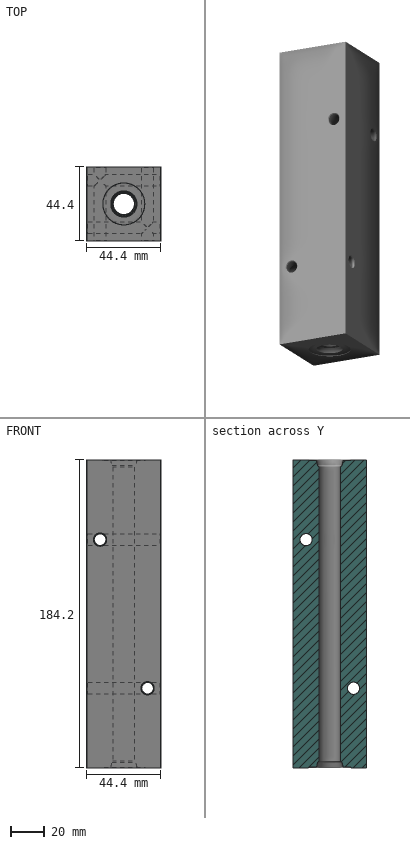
import cadquery as cq
import math

length = 184.2
width = 44.4

bore_diameter = 12.7
seat_diameter = 15.7
seat_depth = 3.3
seat_angle = 12
spotface_diameter = 25.0
spotface_depth = 0.4

cross_hole_diameter = 7.0
countersink_diameter = 8.0
cross_hole_offset = 14.2
cross_hole_height = width


def end_port():
    """Cutter for the upper end: spotface, conical seat and 45 degree lead-in to the bore."""
    top = length / 2
    spotface_floor = top - spotface_depth
    seat_end = top - seat_depth
    seat_radius = seat_diameter / 2
    seat_end_radius = seat_radius - (spotface_floor - seat_end) * math.tan(math.radians(seat_angle))
    bore_radius = bore_diameter / 2
    lead_in_end = seat_end - (seat_end_radius - bore_radius)
    profile = [
        (0, top),
        (spotface_diameter / 2, top),
        (spotface_diameter / 2, spotface_floor),
        (seat_radius, spotface_floor),
        (seat_end_radius, seat_end),
        (bore_radius, lead_in_end),
        (0, lead_in_end),
    ]
    return cq.Workplane("XZ").polyline(profile).close().revolve(360, (0, 0, 0), (0, 1, 0))


def cross_hole():
    """Cutter along Y through the whole block, with a 45 degree countersink at each mouth."""
    radius = cross_hole_diameter / 2
    mouth_radius = countersink_diameter / 2
    half_width = width / 2
    straight_half = half_width - (mouth_radius - radius)
    profile = [
        (0, -half_width),
        (mouth_radius, -half_width),
        (radius, -straight_half),
        (radius, straight_half),
        (mouth_radius, half_width),
        (0, half_width),
    ]
    return cq.Workplane("XY").polyline(profile).close().revolve(360, (0, 0, 0), (0, 1, 0))


block = cq.Workplane("XY").box(width, width, length)

bore = cq.Workplane("XY").circle(bore_diameter / 2).extrude(length / 2, both=True)
upper_port = end_port()
lower_port = upper_port.mirror("XY")
block = block.cut(bore).cut(upper_port).cut(lower_port)

hole_along_y = cross_hole()
hole_along_x = hole_along_y.rotate((0, 0, 0), (0, 0, 1), 90)
for side in (1, -1):
    height = side * cross_hole_height
    offset = side * cross_hole_offset
    block = block.cut(hole_along_y.translate((-offset, 0, height)))
    block = block.cut(hole_along_x.translate((0, offset, height)))

result = block